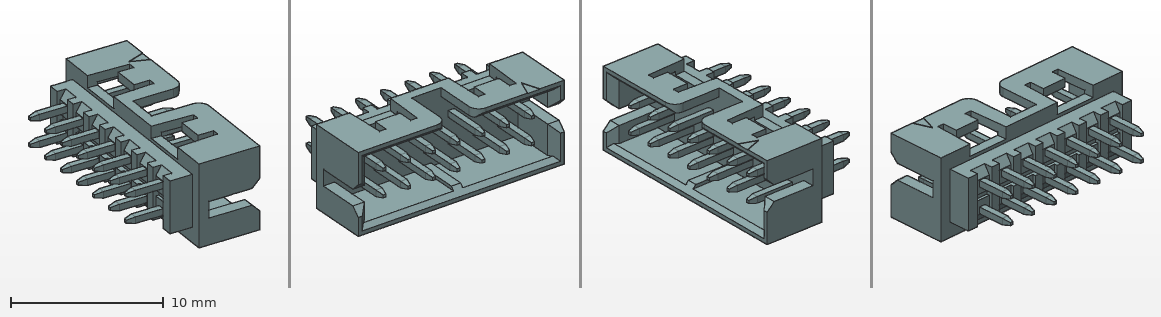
import cadquery as cq


SHROUD_X = 16.65
SHROUD_Y = 4.68
SHROUD_Z = 6.3
FLOOR_Y = 0.77
SIDE_WALL = 0.67
END_WALL = 0.92
MOUTH_RIM = 0.32
RIB_X = 0.75
RIB_HEIGHT = 0.25

PITCH = 2.0
COLUMNS = 7
PIN = 0.5
PIN_TIP = 0.23
PIN_TAPER = 0.62
PIN_FRONT_Y = 4.38
PIN_BACK_Y = -4.23

BASE_X = 14.98
BASE_Y = 1.71
BASE_Z = 3.96
POCKET_X = 1.3
POCKET_DEPTH = 0.23
RAMP_DEPTH = 0.67
RAMP_Z = 0.68
GROOVE_Z = 0.45
GROOVE_DEPTH = 0.47

KEY_X = 2.36
KEY_FILLET = 0.8
WINDOW_OFFSET = 2 * PITCH
WINDOW_BACK_X = 3.3
WINDOW_FRONT_X = 3.03
WINDOW_FRONT_Y = 3.16
WINDOW_DEPTH = 0.92
LATCH_X = 2.0
LATCH_BACK_Y = 1.96
END_SLOT_Z = 1.25
END_SLOT_RISE = 0.5
END_SLOT_FLARE = 0.6
MARK_CENTER_X = -5.85
MARK_X = 1.0
MARK_Y = 1.37
MARK_DEPTH = 0.03

COLUMN_X = [(i - (COLUMNS - 1) / 2) * PITCH for i in range(COLUMNS)]
TOP_Z = SHROUD_Z / 2
CAVITY_X = SHROUD_X - 2 * END_WALL
CAVITY_Z = SHROUD_Z - 2 * SIDE_WALL


def box(x0, x1, y0, y1, z0, z1):
    """Box between opposite corners."""
    return cq.Workplane("XY").box(x1 - x0, y1 - y0, z1 - z0, centered=False).translate((x0, y0, z0))


def rect_at(y, width, height):
    """Rectangle wire centered on the Y axis at the given Y."""
    return cq.Workplane("XZ", origin=(0, y, 0)).rect(width, height)


def cavity():
    """Mating cavity with its lead-in and the polarizing rib left standing."""
    end_lead = END_WALL - MOUTH_RIM
    side_lead = SIDE_WALL - MOUTH_RIM
    across = (
        cq.Workplane("XY")
        .polyline([
            (-CAVITY_X / 2, FLOOR_Y),
            (CAVITY_X / 2, FLOOR_Y),
            (CAVITY_X / 2, SHROUD_Y - end_lead),
            (CAVITY_X / 2 + end_lead, SHROUD_Y),
            (-CAVITY_X / 2 - end_lead, SHROUD_Y),
            (-CAVITY_X / 2, SHROUD_Y - end_lead),
        ])
        .close()
        .extrude(SHROUD_Z, both=True)
    )
    upright = (
        cq.Workplane("YZ")
        .polyline([
            (FLOOR_Y, -CAVITY_Z / 2),
            (SHROUD_Y - side_lead, -CAVITY_Z / 2),
            (SHROUD_Y, -CAVITY_Z / 2 - side_lead),
            (SHROUD_Y, CAVITY_Z / 2 + side_lead),
            (SHROUD_Y - side_lead, CAVITY_Z / 2),
            (FLOOR_Y, CAVITY_Z / 2),
        ])
        .close()
        .extrude(SHROUD_X, both=True)
    )
    rib_top = -CAVITY_Z / 2 + RIB_HEIGHT
    rib_lead = SIDE_WALL + RIB_HEIGHT - MOUTH_RIM
    rib = (
        cq.Workplane("YZ")
        .polyline([
            (0, -TOP_Z),
            (0, rib_top),
            (SHROUD_Y - rib_lead, rib_top),
            (SHROUD_Y, rib_top - rib_lead),
            (SHROUD_Y, -TOP_Z),
        ])
        .close()
        .extrude(RIB_X / 2, both=True)
    )
    return across.intersect(upright).cut(rib)


def key_slot():
    """Keying slot through the upper wall, rounded where it meets the mouth."""
    half = KEY_X / 2
    straight_y = SHROUD_Y - KEY_FILLET
    return (
        cq.Workplane("XY")
        .moveTo(-half, FLOOR_Y)
        .lineTo(half, FLOOR_Y)
        .lineTo(half, straight_y)
        .radiusArc((half + KEY_FILLET, SHROUD_Y), KEY_FILLET)
        .lineTo(-half - KEY_FILLET, SHROUD_Y)
        .radiusArc((-half, straight_y), KEY_FILLET)
        .close()
        .extrude(TOP_Z)
    )


def latch_window(center_x):
    """Tapered window in the upper wall, open at the back, with a latch tab left in it."""
    window = (
        cq.Workplane("XY", origin=(center_x, 0, TOP_Z - WINDOW_DEPTH))
        .polyline([
            (-WINDOW_BACK_X / 2, 0),
            (WINDOW_BACK_X / 2, 0),
            (WINDOW_FRONT_X / 2, WINDOW_FRONT_Y),
            (-WINDOW_FRONT_X / 2, WINDOW_FRONT_Y),
        ])
        .close()
        .extrude(WINDOW_DEPTH)
    )
    half = LATCH_X / 2
    tab = box(center_x - half, center_x + half, LATCH_BACK_Y, SHROUD_Y, TOP_Z - WINDOW_DEPTH, TOP_Z)
    return window.cut(tab)


def end_slot(side):
    """Slot through one end wall, flared at the mouth; raised at -X and lowered at +X."""
    middle = -side * END_SLOT_RISE
    half = END_SLOT_Z / 2
    flare_y = SHROUD_Y - END_SLOT_FLARE
    slot = (
        cq.Workplane("YZ")
        .polyline([
            (FLOOR_Y, middle - half),
            (flare_y, middle - half),
            (SHROUD_Y, middle - half - END_SLOT_FLARE),
            (SHROUD_Y, middle + half + END_SLOT_FLARE),
            (flare_y, middle + half),
            (FLOOR_Y, middle + half),
        ])
        .close()
        .extrude(side * END_WALL)
    )
    return slot.translate((side * CAVITY_X / 2, 0, 0))


def pin_one_mark():
    """Shallow triangle engraved in the upper wall beside the first pin column."""
    return (
        cq.Workplane("XY", origin=(MARK_CENTER_X, SHROUD_Y, TOP_Z))
        .polyline([(-MARK_X / 2, 0), (MARK_X / 2, 0), (0, -MARK_Y)])
        .close()
        .extrude(-MARK_DEPTH)
    )


def pin_pocket(center_x):
    """Shallow relief around one column of pins, ramping deeper toward the base's long edges."""
    edge_z = BASE_Z / 2
    flat_z = edge_z - RAMP_Z
    floor_y = -BASE_Y + POCKET_DEPTH
    ramp_y = -BASE_Y + RAMP_DEPTH
    return (
        cq.Workplane("YZ", origin=(center_x, 0, 0))
        .polyline([
            (-BASE_Y, -edge_z),
            (ramp_y, -edge_z),
            (floor_y, -flat_z),
            (floor_y, flat_z),
            (ramp_y, edge_z),
            (-BASE_Y, edge_z),
        ])
        .close()
        .extrude(POCKET_X / 2, both=True)
    )


def row_groove(x0, x1):
    """Groove between the pin rows over a stretch of the base."""
    return box(x0, x1, -BASE_Y, -BASE_Y + GROOVE_DEPTH, -GROOVE_Z / 2, GROOVE_Z / 2)


def pin(x, z):
    """Square pin tapered at both ends."""
    shank_back = PIN_BACK_Y + PIN_TAPER
    shank_front = PIN_FRONT_Y - PIN_TAPER
    shank = box(-PIN / 2, PIN / 2, shank_back, shank_front, -PIN / 2, PIN / 2)
    back_tip = rect_at(shank_back, PIN, PIN).workplane(offset=PIN_TAPER).rect(PIN_TIP, PIN_TIP).loft()
    front_tip = rect_at(shank_front, PIN, PIN).workplane(offset=-PIN_TAPER).rect(PIN_TIP, PIN_TIP).loft()
    return shank.union(back_tip).union(front_tip).translate((x, 0, z))


shroud = box(-SHROUD_X / 2, SHROUD_X / 2, 0, SHROUD_Y, -TOP_Z, TOP_Z)
shroud = shroud.cut(cavity()).cut(key_slot()).cut(pin_one_mark())
for side in (-1, 1):
    shroud = shroud.cut(latch_window(side * WINDOW_OFFSET)).cut(end_slot(side))

base = box(-BASE_X / 2, BASE_X / 2, -BASE_Y, 0, -BASE_Z / 2, BASE_Z / 2)
for x in COLUMN_X:
    base = base.cut(pin_pocket(x))
for first, last in ((0, 0), (1, COLUMNS - 2), (COLUMNS - 1, COLUMNS - 1)):
    base = base.cut(row_groove(COLUMN_X[first] - POCKET_X / 2, COLUMN_X[last] + POCKET_X / 2))

result = shroud.union(base)
for x in COLUMN_X:
    for row_z in (-PITCH / 2, PITCH / 2):
        result = result.union(pin(x, row_z))